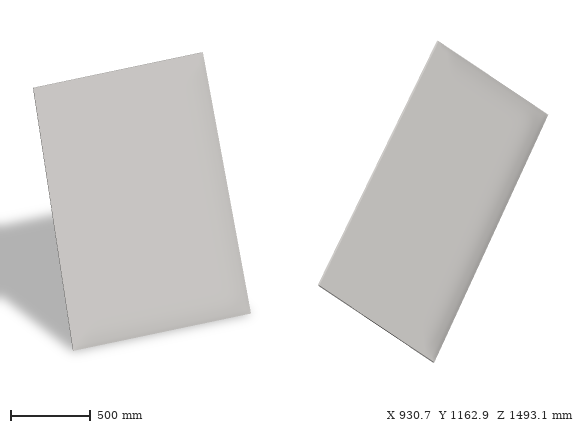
import cadquery as cq
import math

size_x = 930.7
size_y = 1162.93
size_z = 1493.13

thickness = 15.0
end_bevel = 1.5

side_taper = 54.2


def end_extent(bevel, tilt):
    """X and Z components of an end face whose upper edge is offset up the slope by bevel."""
    run = thickness * math.sin(tilt) - bevel * math.cos(tilt)
    rise = thickness * math.cos(tilt) + bevel * math.sin(tilt)
    return run, rise


def section_corners():
    """Corners of the tilted X-Z section, fitted to size_x and size_z."""
    refinement_steps = 20
    tilt = math.atan2(size_z, size_x)
    for _ in range(refinement_steps):
        raised_run, raised_rise = end_extent(end_bevel, tilt)
        low_run, low_rise = end_extent(-end_bevel, tilt)
        tilt = math.atan2(size_z - raised_rise, size_x - low_run)
    return [
        (0, size_z - raised_rise),
        (raised_run, size_z),
        (size_x, low_rise),
        (size_x - low_run, 0),
    ]


def make_tilted_slab():
    """Slab of full width along Y, raised at its -X end."""
    section = cq.Workplane("XZ").polyline(section_corners()).close()
    return section.extrude(-size_y)


def make_plan_prism():
    """Upright prism whose walls trim the sides of the slab."""
    plan = [
        (0, 0),
        (size_x, 0),
        (size_x, size_y),
        (0, size_y - side_taper),
    ]
    return cq.Workplane("XY").polyline(plan).close().extrude(size_z)


result = make_tilted_slab().intersect(make_plan_prism())